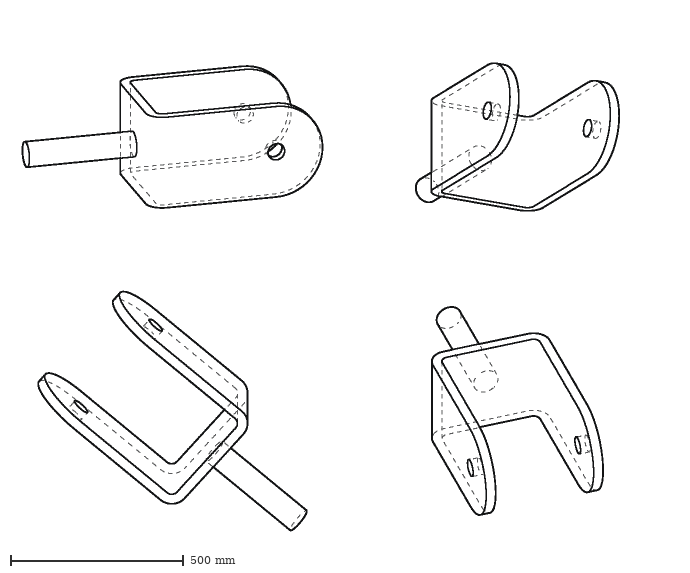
import cadquery as cq

total_length = 845.0
fork_width = 360.0
fork_height = 280.0
wall = 29.5
bend_outer_radius = 50.0
shaft_diameter = 75.0
shaft_length = 324.5
pin_hole_diameter = 50.0

fork_length = total_length - shaft_length
bend_inner_radius = bend_outer_radius - wall
end_radius = fork_height / 2
pin_y = fork_length - end_radius


def bent_block(width, start_y, bend_radius):
    """Block from start_y to the arm tips, with its two rear vertical edges rounded."""
    length = fork_length - start_y
    return (
        cq.Workplane("XY")
        .box(width, length, fork_height, centered=(True, False, True))
        .translate((0, start_y, 0))
        .edges("|Z and <Y")
        .fillet(bend_radius)
    )


def side_profile():
    """Side outline of the arms, with round ends and pin holes, across the full width."""
    return (
        cq.Workplane("YZ")
        .moveTo(0, -end_radius)
        .lineTo(pin_y, -end_radius)
        .threePointArc((fork_length, 0), (pin_y, end_radius))
        .lineTo(0, end_radius)
        .close()
        .moveTo(pin_y, 0)
        .circle(pin_hole_diameter / 2)
        .extrude(fork_width / 2, both=True)
    )


outer_block = bent_block(fork_width, 0, bend_outer_radius)
inner_space = bent_block(fork_width - 2 * wall, wall, bend_inner_radius)
fork = outer_block.cut(inner_space).intersect(side_profile())

shaft = (
    cq.Workplane("XZ", origin=(0, wall / 2, 0))
    .circle(shaft_diameter / 2)
    .extrude(shaft_length + wall / 2)
)

result = fork.union(shaft)